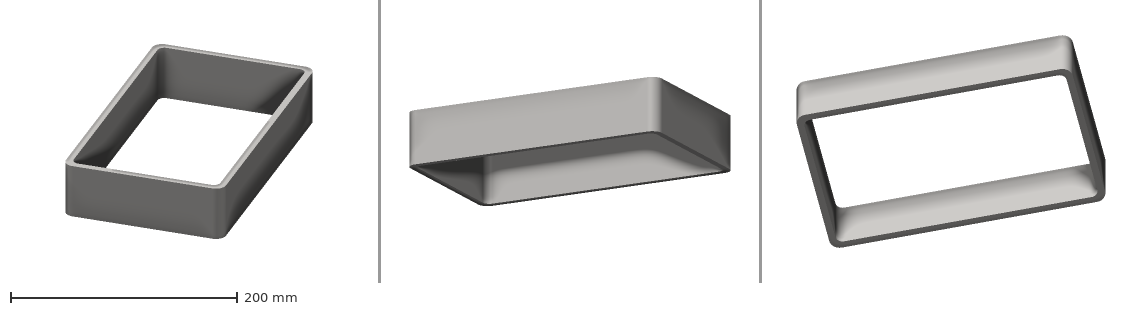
import cadquery as cq

width = 150.0
depth = 250.0
height = 50.0
wall = 6.3
outer_radius = 1.5 * wall
inner_radius = wall


def rounded_block(size_x, size_y, corner_radius):
    """Upright block centred on the Z axis, with rounded vertical edges."""
    block = cq.Workplane("XY").rect(size_x, size_y).extrude(height)
    return block.edges("|Z").fillet(corner_radius)


outside = rounded_block(width, depth, outer_radius)
opening = rounded_block(width - 2 * wall, depth - 2 * wall, inner_radius)

result = outside.cut(opening)